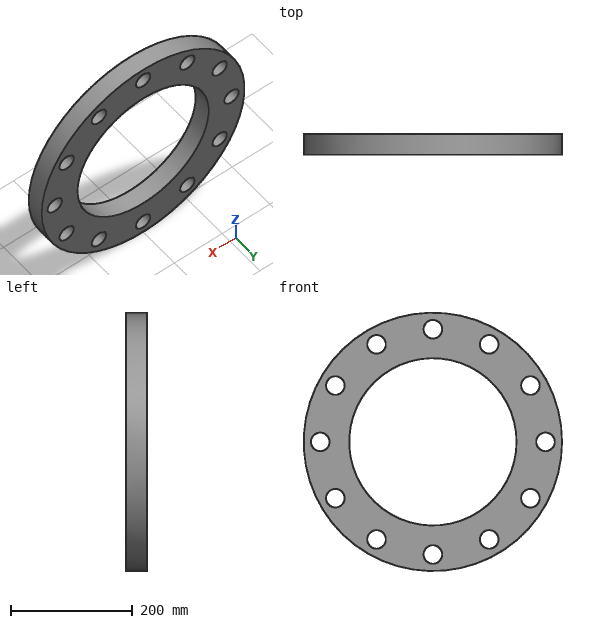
import cadquery as cq

outer_diameter = 425.0
thickness = 35.0
bore_diameter = 274.5
bolt_circle_diameter = 370.0
bolt_hole_diameter = 30.0
bolt_hole_count = 12


def make_ring():
    """Plain ring, centred on the origin across its thickness."""
    return (
        cq.Workplane("XZ", origin=(0, thickness / 2, 0))
        .circle(outer_diameter / 2)
        .circle(bore_diameter / 2)
        .extrude(thickness)
    )


def make_bolt_holes():
    """Cylinders for the evenly spaced through holes, one of them on the +X axis."""
    return (
        cq.Workplane("XZ", origin=(0, thickness / 2, 0))
        .polarArray(bolt_circle_diameter / 2, 0, 360, bolt_hole_count)
        .circle(bolt_hole_diameter / 2)
        .extrude(thickness)
    )


result = make_ring().cut(make_bolt_holes())